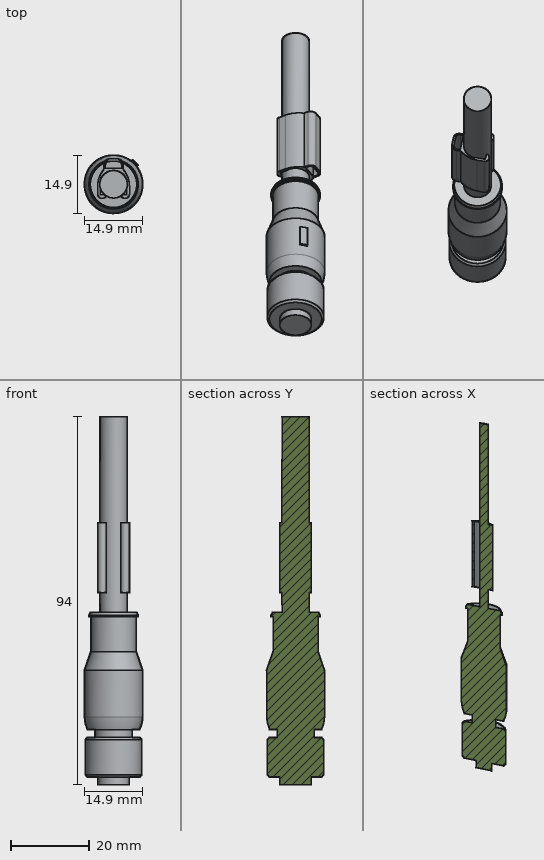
import cadquery as cq
import math


TIP_BOTTOM = 0.0
NUT_BOTTOM = 2.0
NUT_TOP = 12.1
BODY_BOTTOM = 14.1
BODY_LOWER_EDGE = 17.4
BODY_SHOULDER = 29.2
SLEEVE_START = 34.0
COLLAR_BOTTOM = 42.9
COLLAR_EDGE = 43.3
COLLAR_TOP = 44.1
CABLE_TOP = 94.0

BODY_DIAMETER = 14.9
CABLE_DIAMETER = 7.05
TIP_RADIUS = 4.0
NUT_RADIUS = 7.2
NUT_CHAMFER = 0.6
NECK_RADIUS = 4.8
BODY_BOTTOM_RADIUS = 6.7
BODY_TAPER_BULGE = 0.2
BODY_RADIUS = BODY_DIAMETER / 2
SLEEVE_RADIUS = 5.8
COLLAR_RADIUS = 6.3
COLLAR_TOP_RADIUS = 5.9
CABLE_RADIUS = CABLE_DIAMETER / 2

MARK_DISTANCE = 7.9
MARK_WIDTH = 2.0
MARK_HEIGHT = 5.6
MARK_ANGLE = 45.0

CLIP_BOTTOM = 49.1
CLIP_LENGTH = 17.9
CLIP_WALL = 0.6
ARM_SPREAD = 8.2
ARM_HALF_WIDTH = ARM_SPREAD / 2
ARM_WALL = 0.7
ARM_INNER_HALF_WIDTH = ARM_HALF_WIDTH - ARM_WALL
ARM_STRAIGHT_TOP = -0.7
ARM_STRAIGHT_BOTTOM = -2.4
HOOK_INNER_FACE = -2.7
HOOK_TIP_X = 1.9
GAP_CORNER_RADIUS = 0.3

TUBE_HALF_WIDTH = 2.4
TUBE_BASE = 3.9
TUBE_TOP = 6.5
TUBE_SIDE_WALL = 0.4
TUBE_CORNER_RADIUS = 1.5


def make_turned_body():
    """Tip, nut, neck, grip body, collar and cable as one revolved profile."""
    taper_middle_radius = (BODY_BOTTOM_RADIUS + BODY_RADIUS) / 2 + BODY_TAPER_BULGE
    taper_middle_height = (BODY_BOTTOM + BODY_LOWER_EDGE) / 2
    profile = (
        cq.Workplane("XZ")
        .moveTo(0, TIP_BOTTOM)
        .lineTo(TIP_RADIUS, TIP_BOTTOM)
        .lineTo(TIP_RADIUS, NUT_BOTTOM)
        .lineTo(NUT_RADIUS - NUT_CHAMFER, NUT_BOTTOM)
        .lineTo(NUT_RADIUS, NUT_BOTTOM + NUT_CHAMFER)
        .lineTo(NUT_RADIUS, NUT_TOP - NUT_CHAMFER)
        .lineTo(NUT_RADIUS - NUT_CHAMFER, NUT_TOP)
        .lineTo(NECK_RADIUS, NUT_TOP)
        .lineTo(NECK_RADIUS, BODY_BOTTOM)
        .lineTo(BODY_BOTTOM_RADIUS, BODY_BOTTOM)
        .threePointArc((taper_middle_radius, taper_middle_height), (BODY_RADIUS, BODY_LOWER_EDGE))
        .lineTo(BODY_RADIUS, BODY_SHOULDER)
        .lineTo(SLEEVE_RADIUS, SLEEVE_START)
        .lineTo(SLEEVE_RADIUS, COLLAR_BOTTOM)
        .lineTo(COLLAR_RADIUS, COLLAR_BOTTOM)
        .lineTo(COLLAR_RADIUS, COLLAR_EDGE)
        .lineTo(COLLAR_TOP_RADIUS, COLLAR_TOP)
        .lineTo(CABLE_RADIUS, COLLAR_TOP)
        .lineTo(CABLE_RADIUS, CABLE_TOP)
        .lineTo(0, CABLE_TOP)
        .close()
    )
    return profile.revolve(360, (0, 0, 0), (0, 1, 0))


def make_mark():
    """Flat raised block on the straight part of the body, turned to its angle."""
    middle = (BODY_LOWER_EDGE + BODY_SHOULDER) / 2
    block = (
        cq.Workplane("XY")
        .box(MARK_DISTANCE, MARK_WIDTH, MARK_HEIGHT, centered=(False, True, True))
        .translate((0, 0, middle))
    )
    return block.rotate((0, 0, 0), (0, 0, 1), MARK_ANGLE)


def make_clip_arm():
    """The +X arm: bowed side, straight run and a hook ending on the cable."""
    run_in = ARM_HALF_WIDTH - TUBE_HALF_WIDTH
    rise = TUBE_BASE - ARM_STRAIGHT_TOP
    bow_radius = (run_in**2 + rise**2) / (2 * run_in)
    half_angle = math.asin(rise / bow_radius) / 2
    bow_middle = (
        ARM_HALF_WIDTH - bow_radius * (1 - math.cos(half_angle)),
        ARM_STRAIGHT_TOP + bow_radius * math.sin(half_angle),
    )

    hook_tip = (HOOK_TIP_X, -math.sqrt(CABLE_RADIUS**2 - HOOK_TIP_X**2))

    outline = (
        cq.Workplane("XY", origin=(0, 0, CLIP_BOTTOM))
        .moveTo(0, 0)
        .lineTo(0, TUBE_BASE)
        .lineTo(TUBE_HALF_WIDTH, TUBE_BASE)
        .threePointArc(bow_middle, (ARM_HALF_WIDTH, ARM_STRAIGHT_TOP))
        .lineTo(ARM_HALF_WIDTH, ARM_STRAIGHT_BOTTOM)
        .tangentArcPoint(hook_tip, relative=False)
        .close()
    )
    corner_gap = (
        cq.Workplane("XY", origin=(0, 0, CLIP_BOTTOM))
        .rect(ARM_INNER_HALF_WIDTH, HOOK_INNER_FACE, centered=False)
        .extrude(CLIP_LENGTH)
        .edges("|Z and >X and <Y")
        .fillet(GAP_CORNER_RADIUS)
    )
    return outline.extrude(CLIP_LENGTH).cut(corner_gap)


def make_round_topped_bar(half_width, bottom, top, corner_radius):
    """Clip-length bar with its two +Y corners rounded."""
    return (
        cq.Workplane("XY", origin=(-half_width, bottom, CLIP_BOTTOM))
        .rect(2 * half_width, top - bottom, centered=False)
        .extrude(CLIP_LENGTH)
        .edges("|Z and >Y")
        .fillet(corner_radius)
    )


def make_clip():
    """Both arms plus the hollow label tube, open at both ends."""
    arm = make_clip_arm()
    tube = make_round_topped_bar(TUBE_HALF_WIDTH, 0, TUBE_TOP, TUBE_CORNER_RADIUS)
    label_slot = make_round_topped_bar(
        TUBE_HALF_WIDTH - TUBE_SIDE_WALL,
        CABLE_RADIUS + CLIP_WALL,
        TUBE_TOP - CLIP_WALL,
        TUBE_CORNER_RADIUS - CLIP_WALL,
    )
    return arm.union(arm.mirror("YZ")).union(tube).cut(label_slot)


result = make_turned_body().union(make_mark()).union(make_clip())